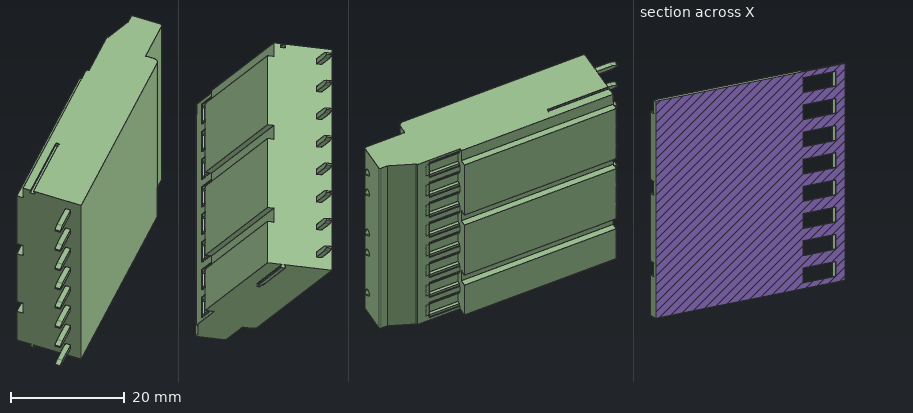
import cadquery as cq


pitch = 5.08
pole_count = 8
height = pitch * pole_count
thickness = 12.2
depth = 44.8

block_depth = 30.0
neck_x = 1.7
ledge_y = 38.4
ledge_width = 0.25
ledge_rise = 0.15
back_left_x = 3.85
slope_end_y = 43.2
back_right_x = 9.7
shoulder_y = 36.8
shoulder_radius = 0.9
back_left_radius = 0.3
back_right_radius = 0.4

notch_depth = 1.2
notch_width = pitch / 2
poles_per_notch = 3
notch_spacing = poles_per_notch * pitch
notch_count = 3

window_length = 6.0
window_height = 3.7
window_lip = 0.5
lip_depth = 0.2
window_depth = 0.8
window_undercut = 0.6

pin_length = 5.0
pin_width = 1.0
pin_height = 0.9
pin_x = 9.7
pin_taper_length = 1.1
pin_tip_height = 0.3

marker_x = 8.3
marker_height = 0.5
marker_base_radius = 0.65
marker_tip_radius = 0.2

joint_x = 2.95
joint_neck_width = 0.45
joint_wide_width = 0.9
joint_base_width = 0.8
rib_height = 0.6
rib_wide_height = 0.35
rib_length = 11.9
rib_end_length = 1.1
groove_depth = 0.7
groove_length = 12.0


def make_housing():
    outline = (
        cq.Workplane("XY")
        .lineTo(thickness, 0)
        .lineTo(thickness, shoulder_y)
        .lineTo(back_right_x, shoulder_y)
        .lineTo(back_right_x, depth)
        .lineTo(back_left_x, depth)
        .lineTo(back_left_x, slope_end_y)
        .lineTo(neck_x + ledge_width, ledge_y + ledge_rise)
        .lineTo(neck_x, ledge_y)
        .lineTo(neck_x, block_depth)
        .lineTo(0, block_depth)
        .close()
    )
    housing = outline.extrude(height)
    rounded_corners = (
        (thickness, shoulder_y, shoulder_radius),
        (back_right_x, depth, back_right_radius),
        (back_left_x, depth, back_left_radius),
    )
    for x, y, radius in rounded_corners:
        corner = cq.selectors.NearestToPointSelector((x, y, height / 2))
        housing = housing.edges("|Z").edges(corner).fillet(radius)
    return housing


def make_notch(index):
    top = height - index * notch_spacing
    return cq.Workplane("XY").box(notch_depth, block_depth, notch_width, centered=False).translate(
        (0, 0, top - notch_width)
    )


def pole_z(index):
    return (index + 0.5) * pitch


def make_window(index):
    def recess(recess_depth, recess_height):
        return (
            cq.Workplane("XY")
            .box(recess_depth, window_length, recess_height, centered=(False, False, True))
            .translate((neck_x, block_depth, pole_z(index)))
        )

    opening_height = window_height - 2 * window_lip
    shallow = recess(lip_depth, window_height)
    deep = recess(window_depth, opening_height)
    undercut = (
        cq.Workplane("XY")
        .box(window_depth - lip_depth, window_undercut, opening_height, centered=(False, False, True))
        .translate((neck_x + lip_depth, block_depth + window_length, pole_z(index)))
    )
    return shallow.union(deep).union(undercut)


def make_pin(index):
    taper_y = pin_taper_length - pin_length
    return (
        cq.Workplane("YZ")
        .moveTo(0, -pin_height / 2)
        .lineTo(0, pin_height / 2)
        .lineTo(taper_y, pin_height / 2)
        .lineTo(-pin_length, pin_tip_height / 2)
        .lineTo(-pin_length, -pin_tip_height / 2)
        .lineTo(taper_y, -pin_height / 2)
        .close()
        .extrude(pin_width / 2, both=True)
        .translate((pin_x, 0, pole_z(index)))
    )


def make_marker(boundary):
    cone = cq.Solid.makeCone(
        marker_base_radius,
        marker_tip_radius,
        marker_height,
        pnt=cq.Vector(marker_x, depth, height - boundary * pitch),
        dir=cq.Vector(0, 1, 0),
    )
    return cq.Workplane(obj=cone)


def make_dovetail(face_z, wide_drop, base_drop, length):
    """Bar along Y hanging from face_z: narrow neck, widest at wide_drop, flat base at base_drop."""
    return (
        cq.Workplane("XZ", origin=(joint_x, 0, face_z))
        .moveTo(-joint_neck_width / 2, 0)
        .lineTo(-joint_wide_width / 2, -wide_drop)
        .lineTo(-joint_base_width / 2, -base_drop)
        .lineTo(joint_base_width / 2, -base_drop)
        .lineTo(joint_wide_width / 2, -wide_drop)
        .lineTo(joint_neck_width / 2, 0)
        .close()
        .extrude(-length)
    )


def make_rib():
    dovetail = make_dovetail(0, rib_wide_height, rib_height, rib_length - rib_end_length)
    plain_end = (
        cq.Workplane("XY")
        .box(joint_neck_width, rib_end_length, rib_height, centered=(True, False, False))
        .translate((joint_x, rib_length - rib_end_length, -rib_height))
    )
    return dovetail.union(plain_end)


def make_groove():
    groove_wide_depth = groove_depth * rib_wide_height / rib_height
    return make_dovetail(height, groove_wide_depth, groove_depth, groove_length)


result = make_housing()
for notch_index in range(notch_count):
    result = result.cut(make_notch(notch_index))
for pole in range(pole_count):
    result = result.cut(make_window(pole)).union(make_pin(pole))
for boundary in range(1, pole_count):
    if boundary % poles_per_notch != 0:
        result = result.union(make_marker(boundary))
result = result.union(make_rib()).cut(make_groove())